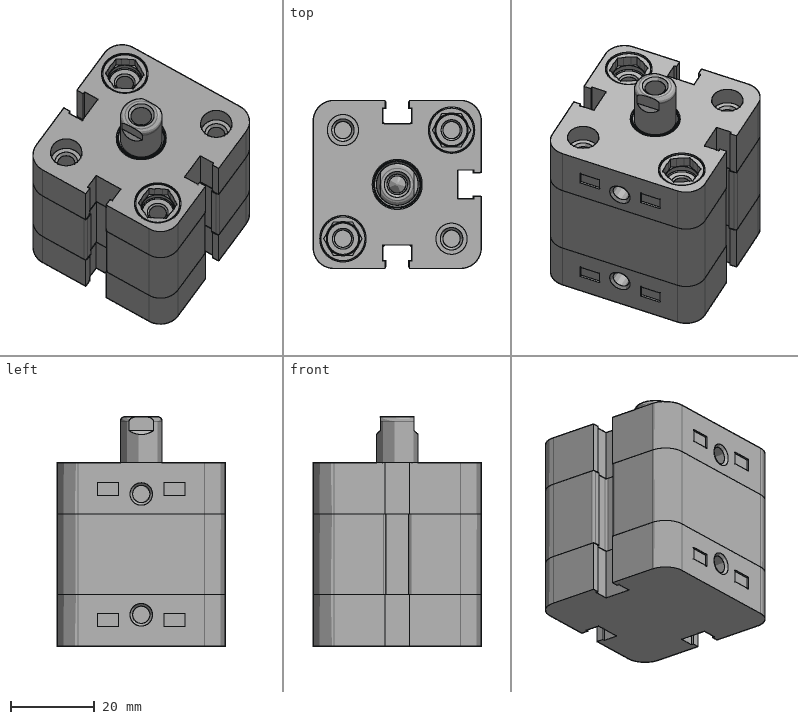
import cadquery as cq
import math

width = 40.3
total_height = 55.0
body_height = 44.0
cap_height = 12.4
barrel_height = body_height - 2 * cap_height
corner_radius = 5.0
half_width = width / 2
cap_seam = body_height - cap_height

slot_depth = 5.6
cap_mouth_width = 5.8
cap_slot_width = 7.0
cap_lip = 1.8
barrel_mouth_width = 5.45
barrel_slot_width = 6.8
barrel_lip = 2.0
slot_mouth_round = 0.6
slot_floor_round = 0.55

port_diameter = 4.1
port_rim_diameter = 5.4
port_depth = 5.0
port_from_end = 7.55
plate_length = 5.1
plate_height = 3.1
plate_depth = 0.5
plate_offset = 8.0
plate_from_end = 6.3

corner_pitch = 26.0
mount_bore_diameter = 7.5
mount_bore_depth = 4.5
mount_rim_diameter = 5.4
mount_hole_diameter = 4.1
screw_recess_diameter = 11.1
screw_face_diameter = 10.5
screw_face_depth = 0.2
hex_across_flats = 8.0
hex_relief_diameter = 8.2
hex_depth = 2.95
screw_bore_diameter = hex_across_flats
screw_floor_diameter = mount_bore_diameter
screw_bore_depth = mount_bore_depth
screw_rim_diameter = 5.0
screw_hole_diameter = mount_hole_diameter

rod_diameter = 10.0
rod_round = 1.15
flat_across = 8.15
flat_length = 3.35
rod_rim_diameter = 6.2
rod_hole_diameter = 4.9
rod_hole_depth = 8.8
rod_cone_diameter = 4.1
rod_cone_angle = 118.0
seat_diameter = 12.0
lip_outer_diameter = 11.4
lip_inner_diameter = 10.9
groove_depth = 0.45


def block(bottom, height):
    """Square block with rounded upright edges."""
    return (
        cq.Workplane("XY", origin=(0, 0, bottom))
        .rect(width, width)
        .extrude(height)
        .edges("|Z")
        .fillet(corner_radius)
    )


def slot(bottom, height, mouth_width, inner_width, lip, mouth_round=0):
    """T-slot cutter open to +X, whose mouth flares out along two rounded lip edges."""
    floor = half_width - slot_depth
    lip_back = half_width - lip
    half_mouth = mouth_width / 2
    half_inner = inner_width / 2
    outline = cq.Workplane("XY", origin=(0, 0, bottom)).moveTo(half_width, -half_mouth - mouth_round)
    arc_start = half_width - mouth_round
    arc_inset = mouth_round * (1 - math.sqrt(0.5))
    if mouth_round:
        outline = outline.threePointArc(
            (half_width - arc_inset, -half_mouth - arc_inset), (arc_start, -half_mouth)
        )
    outline = (
        outline.lineTo(lip_back, -half_mouth)
        .lineTo(lip_back, -half_inner)
        .lineTo(floor, -half_inner)
        .lineTo(floor, half_inner)
        .lineTo(lip_back, half_inner)
        .lineTo(lip_back, half_mouth)
        .lineTo(arc_start, half_mouth)
    )
    if mouth_round:
        outline = outline.threePointArc(
            (half_width - arc_inset, half_mouth + arc_inset), (half_width, half_mouth + mouth_round)
        )
    return outline.close().extrude(height)


def turned(cutter, angle):
    """Cutter turned about the Z axis."""
    return cutter.rotate((0, 0, 0), (0, 0, 1), angle)


def cone(top_diameter, bottom_diameter, top, depth):
    """Cone of the given depth that starts at the height `top`."""
    axis_start = cq.Vector(0, 0, top)
    downward = cq.Vector(0, 0, -1)
    return cq.Workplane(cq.Solid.makeCone(top_diameter / 2, bottom_diameter / 2, depth, axis_start, downward))


def chamfer_cone(top_diameter, bottom_diameter, top):
    """45-degree cone that narrows downward from the height `top`."""
    return cone(top_diameter, bottom_diameter, top, (top_diameter - bottom_diameter) / 2)


def bore(diameter, top, bottom):
    """Upright cylinder between two heights."""
    return cq.Workplane("XY", origin=(0, 0, bottom)).circle(diameter / 2).extrude(top - bottom)


def port(height):
    """Chamfered blind hole in the -X face."""
    radius = port_diameter / 2
    rim_radius = port_rim_diameter / 2
    chamfer = rim_radius - radius
    profile = [(0, 0), (0, rim_radius), (chamfer, radius), (port_depth, radius), (port_depth, 0)]
    cutter = cq.Workplane("XY").polyline(profile).close().revolve(360, (0, 0, 0), (1, 0, 0))
    return cutter.translate((-half_width, 0, height))


def plates(height):
    """Two shallow rectangular recesses for the markings, one on each side of a port."""
    return (
        cq.Workplane("YZ", origin=(-half_width, 0, height))
        .pushPoints([(-plate_offset, 0), (plate_offset, 0)])
        .rect(plate_length, plate_height)
        .extrude(plate_depth)
    )


def make_cap(bottom, port_center_height, plate_center_height):
    """End cap with three slots, one air port and two marking plates."""
    cap = block(bottom, cap_height)
    cutter = slot(bottom, cap_height, cap_mouth_width, cap_slot_width, cap_lip)
    for angle in (-90, 0, 90):
        cap = cap.cut(turned(cutter, angle))
    return cap.cut(port(port_center_height)).cut(plates(plate_center_height))


def mounting_hole():
    """Counterbored hole with a chamfer at the floor of the counterbore."""
    floor = body_height - mount_bore_depth
    cutter = bore(mount_bore_diameter, body_height, floor)
    cutter = cutter.union(chamfer_cone(mount_rim_diameter, mount_hole_diameter, floor))
    return cutter.union(bore(mount_hole_diameter, floor, cap_seam))


def screw_hole():
    """Recess around a bevelled head, with a hexagon socket, round reliefs, bore and screw hole."""
    face = body_height - screw_face_depth
    hex_floor = body_height - hex_depth
    floor = body_height - screw_bore_depth
    floor_chamfer = (screw_bore_diameter - screw_floor_diameter) / 2
    hexagon = (
        cq.Workplane("XY", origin=(0, 0, hex_floor))
        .polygon(6, hex_across_flats / math.cos(math.pi / 6))
        .extrude(face - hex_floor)
    )
    head_edge_depth = (screw_recess_diameter - screw_face_diameter) / 2
    head_edge = cone(screw_face_diameter, screw_recess_diameter, face, head_edge_depth)
    cutter = bore(screw_recess_diameter, body_height, face - head_edge_depth).cut(head_edge)
    cutter = cutter.union(hexagon).union(bore(hex_relief_diameter, face, hex_floor))
    cutter = cutter.union(bore(screw_bore_diameter, hex_floor, floor + floor_chamfer))
    cutter = cutter.union(chamfer_cone(screw_bore_diameter, screw_floor_diameter, floor + floor_chamfer))
    cutter = cutter.union(chamfer_cone(screw_rim_diameter, screw_hole_diameter, floor))
    return cutter.union(bore(screw_hole_diameter, floor, cap_seam))


def rod_seat():
    """Rod bore whose wiper lip stands between two V-shaped grooves around the rod."""
    outer_groove = cone(seat_diameter, lip_outer_diameter, body_height, groove_depth)
    outer_groove = outer_groove.cut(bore(lip_outer_diameter, body_height, cap_seam))
    inner_groove = cone(lip_inner_diameter, rod_diameter, body_height, groove_depth)
    return bore(rod_diameter, body_height, cap_seam).union(inner_groove).union(outer_groove)


def wrench_flat():
    """Cutter for the flat on the +X side of the rod, ending in a 45-degree slope."""
    flat = flat_across / 2
    outside = rod_diameter
    flat_end = total_height - flat_length
    return (
        cq.Workplane("XZ")
        .moveTo(flat, total_height)
        .lineTo(flat, flat_end)
        .lineTo(outside, flat_end - (outside - flat))
        .lineTo(outside, total_height)
        .close()
        .extrude(rod_diameter / 2, both=True)
    )


def rod_hole():
    """Chamfered blind hole in the rod end, with a raised cone on its floor."""
    floor = total_height - rod_hole_depth
    cone_height = rod_cone_diameter / 2 / math.tan(math.radians(rod_cone_angle / 2))
    raised_cone = cone(0, rod_cone_diameter, floor + cone_height, cone_height)
    cutter = chamfer_cone(rod_rim_diameter, rod_hole_diameter, total_height)
    return cutter.union(bore(rod_hole_diameter, total_height, floor)).cut(raised_cone)


rear_cap = make_cap(0, port_from_end, plate_from_end)

front_cap = make_cap(cap_seam, body_height - port_from_end, body_height - plate_from_end)
front_cap = front_cap.cut(rod_seat())
corner = corner_pitch / 2
for side in (-1, 1):
    front_cap = front_cap.cut(screw_hole().translate((side * corner, side * corner, 0)))
    front_cap = front_cap.cut(mounting_hole().translate((-side * corner, side * corner, 0)))

barrel = block(cap_height, barrel_height)
side_slot = slot(
    cap_height, barrel_height, barrel_mouth_width, barrel_slot_width, barrel_lip, slot_mouth_round
)
round_floor_slot = side_slot.edges("|Z and <X").fillet(slot_floor_round)
barrel = barrel.cut(side_slot)
for angle in (-90, 90):
    barrel = barrel.cut(turned(round_floor_slot, angle))

rod = bore(rod_diameter, total_height, cap_seam).faces(">Z").edges().fillet(rod_round)
rod = rod.cut(rod_hole())
for angle in (0, 180):
    rod = rod.cut(turned(wrench_flat(), angle))

result = cq.Compound.makeCompound([rear_cap.val(), barrel.val(), front_cap.val(), rod.val()])